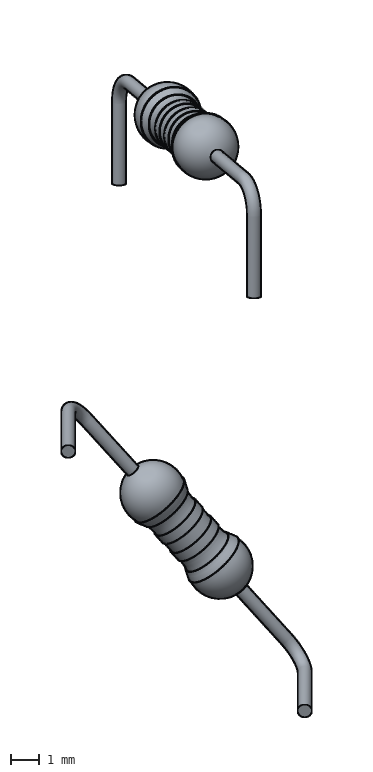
import cadquery as cq
import math

overall_length = 13.5
wire_diameter = 0.5
bend_radius = 1.0
lead_drop = 4.0

end_diameter = 2.3
end_offset = 1.84
waist_diameter = 1.8
waist_half_length = 0.8

band_diameter = 1.86
groove_diameter = 1.57
middle_band_start = 0.23
middle_band_end = 0.63
end_band_start = 1.12
end_band_end = 1.5

end_radius = end_diameter / 2
waist_radius = waist_diameter / 2
band_rise = (band_diameter - waist_diameter) / 2
groove_depth = (waist_diameter - groove_diameter) / 2
lead_x = (overall_length - wire_diameter) / 2
blend_run = end_offset - waist_half_length
blend_radius = (blend_run**2 + waist_radius**2 - end_radius**2) / (2 * (end_radius - waist_radius))


def point_on_circle(center, radius, angle):
    return (center[0] + radius * math.cos(angle), center[1] + radius * math.sin(angle))


def body_shape(offset):
    """Solid of revolution about X whose surface lies at an offset from the body surface."""
    sphere = end_radius + offset
    waist = waist_radius + offset
    blend = blend_radius - offset
    sphere_center = (end_offset, 0)
    blend_center = (waist_half_length, waist_radius + blend_radius)
    slope = math.atan2(blend_center[1], -blend_run)

    tangent_point = point_on_circle(sphere_center, sphere, slope)
    sphere_middle = point_on_circle(sphere_center, sphere, slope / 2)
    blend_middle = point_on_circle(blend_center, blend, (slope - math.pi - math.pi / 2) / 2)
    pole = (end_offset + sphere, 0)

    def mirrored(point):
        return (-point[0], point[1])

    return (
        cq.Workplane("XY")
        .moveTo(*mirrored(pole))
        .threePointArc(mirrored(sphere_middle), mirrored(tangent_point))
        .threePointArc(mirrored(blend_middle), (-waist_half_length, waist))
        .lineTo(waist_half_length, waist)
        .threePointArc(blend_middle, tangent_point)
        .threePointArc(sphere_middle, pole)
        .close()
        .revolve(360, (0, 0, 0), (1, 0, 0))
    )


def make_band(start, end):
    """Ring that follows the body surface between two places along X."""
    shell = body_shape(band_rise).cut(body_shape(-groove_depth))
    slice_disc = cq.Workplane("YZ", origin=(start, 0, 0)).circle(end_diameter).extrude(end - start)
    return shell.intersect(slice_disc)


def make_wire():
    """One continuous wire through the body with both leads bent down."""
    bend_start = lead_x - bend_radius
    bend_middle_x = bend_start + bend_radius * math.sin(math.pi / 4)
    bend_middle_z = -bend_radius * (1 - math.cos(math.pi / 4))
    path = (
        cq.Workplane("XZ")
        .moveTo(-lead_x, -lead_drop)
        .lineTo(-lead_x, -bend_radius)
        .threePointArc((-bend_middle_x, bend_middle_z), (-bend_start, 0))
        .lineTo(bend_start, 0)
        .threePointArc((bend_middle_x, bend_middle_z), (lead_x, -bend_radius))
        .lineTo(lead_x, -lead_drop)
    )
    return cq.Workplane("XY", origin=(-lead_x, 0, -lead_drop)).circle(wire_diameter / 2).sweep(path)


def make_body(bands, wire):
    """Ceramic body with a groove for each band and a bore for the wire."""
    body = body_shape(0).cut(wire)
    for band in bands:
        body = body.cut(band)
    return body


band_spans = [
    (-end_band_end, -end_band_start),
    (-middle_band_end, -middle_band_start),
    (middle_band_start, middle_band_end),
    (end_band_start, end_band_end),
]
bands = [make_band(start, end) for start, end in band_spans]
wire = make_wire()
body = make_body(bands, wire)

result = cq.Compound.makeCompound([body.val(), wire.val(), *[band.val() for band in bands]])